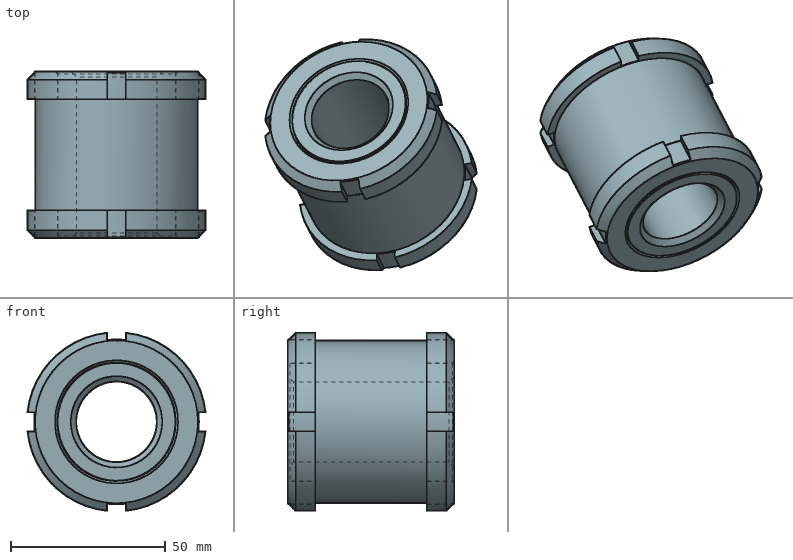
import cadquery as cq
import math

length = 54.0
span = 57.7
body_diameter = 52.7
bore_diameter = 26.0
bore_chamfer = 1.8

collar_width = 9.0
collar_chamfer = 2.65

slot_count = 4
slot_width = 6.1
slot_floor_diameter = 53.4

sleeve_diameter = 38.1
collar_bore_diameter = 38.35
gap_mouth_diameter = 39.85

half_length = length / 2
collar_diameter = math.hypot(span, slot_width)
gap_chamfer = (gap_mouth_diameter - collar_bore_diameter) / 2


def cylinder(diameter, start, depth):
    """Cylinder along +Y that begins at Y = start."""
    plane = cq.Plane(origin=(0, start, 0), xDir=(1, 0, 0), normal=(0, 1, 0))
    return cq.Workplane(plane).circle(diameter / 2).extrude(depth)


def collar(side):
    """Slotted collar at one end; side is -1 for the -Y end and +1 for the +Y end."""
    inner_face = side * (half_length - collar_width)
    width = side * collar_width
    end_face = ">Y" if side > 0 else "<Y"
    ring = cylinder(collar_diameter, inner_face, width).faces(end_face).chamfer(collar_chamfer)
    slot = (
        cq.Workplane("XY")
        .box(slot_width, collar_width, collar_diameter / 2, centered=(True, True, False))
        .translate((0, side * (half_length - collar_width / 2), 0))
        .cut(cylinder(slot_floor_diameter, inner_face, width))
    )
    for index in range(slot_count):
        ring = ring.cut(slot.rotate((0, 0, 0), (0, 1, 0), index * 360 / slot_count))
    return ring


def ring_gap(side):
    """Chamfered ring-shaped gap, as deep as the collar is wide."""
    profile = [
        (sleeve_diameter / 2, half_length - collar_width),
        (collar_bore_diameter / 2, half_length - collar_width),
        (collar_bore_diameter / 2, half_length - gap_chamfer),
        (gap_mouth_diameter / 2, half_length),
        (sleeve_diameter / 2, half_length),
    ]
    points = [(radius, side * y) for radius, y in profile]
    return cq.Workplane("XY").polyline(points).close().revolve(360, (0, 0, 0), (0, 1, 0))


result = cylinder(body_diameter, collar_width - half_length, length - 2 * collar_width)
result = result.union(collar(-1)).union(collar(1))

result = result.cut(cylinder(bore_diameter, -half_length, length))
bore_rims = cq.selectors.RadiusNthSelector(0)
result = result.faces("<Y or >Y").edges(bore_rims).chamfer(bore_chamfer)

for side in (-1, 1):
    result = result.cut(ring_gap(side))